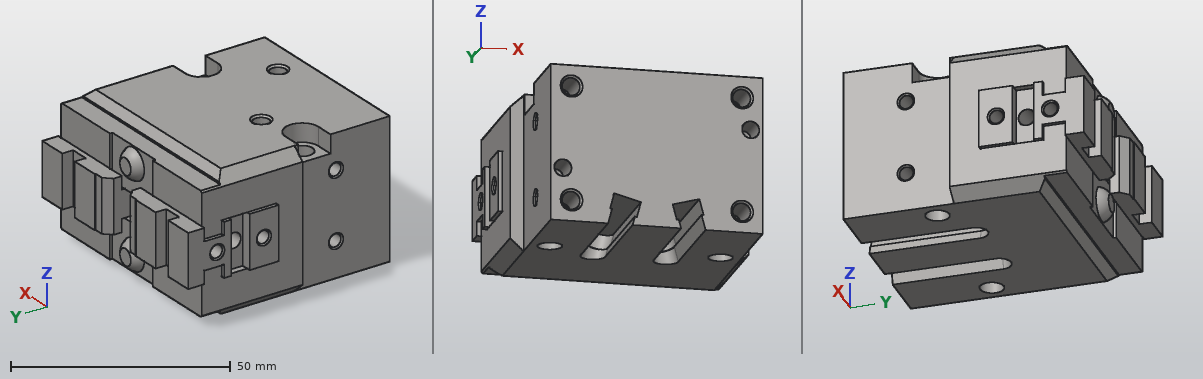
import cadquery as cq
import math


HEIGHT = 37.0
HALF_HEIGHT = HEIGHT / 2
REAR_WIDTH = 49.7
WIDE_WIDTH = 56.0
WIDE_START = 26.5
HOUSING_LENGTH = 49.0
WIDE_EDGE_DROP = 2.9
FACE_BEVEL = 2.0

COVER_HEIGHT = 32.05
COVER_THICKNESS = 5.5
COVER_FACE = HOUSING_LENGTH + COVER_THICKNESS
RECESS_WIDTH = 17.0
RECESS_DEPTH = 0.7
SCREW_HEAD_RADIUS = 4.15
SCREW_CROWN_RADIUS = 2.2
SCREW_HEAD_HEIGHT = 2.35
SCREW_Z = 11.5

JAW_OUTER_X = 58.0 / 2
JAW_INNER_X = 3.7
JAW_HEIGHT = 14.3
JAW_NECK_HEIGHT = 7.45
JAW_TIP = 59
JAW_FOOT = 33.85
SIDE_GROOVE_START = 41.9
SIDE_GROOVE_END = 46.95
SIDE_GROOVE_DEPTH = 2.8
KEYWAY_X = 18.5
KEYWAY_WIDTH = 5.0
KEYWAY_DEPTH = 3.0
NOSE_STEP_X = 8.0
NOSE_STEP_DEPTH = 0.25
NOSE_BEVEL = 1.95
JAW_HOLE_Y = (SIDE_GROOVE_START + SIDE_GROOVE_END) / 2
JAW_SCREW_SPACING = 6.5

DRILL_POINT_ANGLE = 118
DOWEL_DIAMETER = 4.0
SMALL_TAP_DRILL, SMALL_TAP_MOUTH = 3.3, 4.1
LARGE_TAP_DRILL, LARGE_TAP_MOUTH = 4.2, 5.2
TAPPED_DEPTH = 10.05
DOWEL_DEPTH = 8.0

MOUNT_X = 20.0
REAR_TAP_Z = 13.5
REAR_DOWEL_X = 22.0
REAR_DOWEL_Z = 6.0
SIDE_TAP_Y = 15.0
SIDE_TAP_Z = 9.0

BOLT_Y = 21.0
BOLT_DIAMETER = 5.65
BOLT_SEAT_WIDTH = 9.0
BOLT_SEAT_DEPTH = 4.9

PORT_X = 9.5
PORT_LEFT_Y = 25.0
PORT_RIGHT_Y = 7.0
PORT_DEPTH = 6.0
PORT_BORE = 2.0
PORT_BORE_DEPTH = 2.95

SLOT_X = 8.55
SLOT_TILT = 15
SLOT_END_Y = 26.55
SLOT_NECK_WIDTH = 5.55
SLOT_HEAD_WIDTH = 6.5
SLOT_HEAD_START = 2.9
SLOT_DEPTH = 6.6


def box(x0, x1, y0, y1, z0, z1):
    """Axis-aligned block between opposite corners."""
    return cq.Workplane("XY").box(x1 - x0, y1 - y0, z1 - z0, centered=False).translate((x0, y0, z0))


def drilled_hole(position, direction, diameter, depth, mouth=None):
    """Cutter for a horizontal blind hole with a conical drill point and an optional 45 degree mouth."""
    radius = diameter / 2
    point_length = radius / math.tan(math.radians(DRILL_POINT_ANGLE / 2))
    profile = [(0, 0)]
    if mouth:
        mouth_radius = mouth / 2
        profile += [(mouth_radius, 0), (radius, mouth_radius - radius)]
    else:
        profile += [(radius, 0)]
    profile += [(radius, depth), (0, depth + point_length)]
    cutter = cq.Workplane("XY").polyline(profile).close().revolve(360, (0, 0), (0, 1))
    local_x = (0, 0, 1)
    normal = cq.Vector(*local_x).cross(cq.Vector(*direction))
    plane = cq.Plane(origin=position, xDir=local_x, normal=normal.toTuple())
    return cq.Workplane(cutter.val().moved(cq.Location(plane)))


def wide_section(y0, y1):
    """Prism with bevelled long edges, its top and bottom flats as wide as the rear block."""
    half_wide = WIDE_WIDTH / 2
    half_rear = REAR_WIDTH / 2
    shoulder_z = HALF_HEIGHT - WIDE_EDGE_DROP
    corner = [(half_wide, shoulder_z), (half_rear, HALF_HEIGHT)]
    right_half = [(x, -z) for x, z in reversed(corner)] + corner
    left_half = [(-x, -z) for x, z in right_half]
    outline = right_half + left_half
    return cq.Workplane("XZ", origin=(0, y0, 0)).polyline(outline).close().extrude(y0 - y1)


def housing_block():
    """Narrow rear block and wide guide section, bevelled towards the cover."""
    rear = box(-REAR_WIDTH / 2, REAR_WIDTH / 2, 0, WIDE_START, -HALF_HEIGHT, HALF_HEIGHT)
    wide = wide_section(WIDE_START, HOUSING_LENGTH)
    bevel_y = HOUSING_LENGTH - FACE_BEVEL
    bevel_z = HALF_HEIGHT - FACE_BEVEL
    for side in (1, -1):
        wedge = (
            cq.Workplane("YZ", origin=(-WIDE_WIDTH / 2, 0, 0))
            .moveTo(bevel_y, side * HALF_HEIGHT)
            .lineTo(HOUSING_LENGTH, side * HALF_HEIGHT)
            .lineTo(HOUSING_LENGTH, side * bevel_z)
            .close()
            .extrude(WIDE_WIDTH)
        )
        wide = wide.cut(wedge)
    return rear.union(wide)


def cover_plate():
    """Cover that continues the housing sides, with its recess and two screw heads."""
    half_height = COVER_HEIGHT / 2
    plate = wide_section(HOUSING_LENGTH, COVER_FACE)
    plate = plate.intersect(
        box(-WIDE_WIDTH, WIDE_WIDTH, HOUSING_LENGTH, COVER_FACE, -half_height, half_height)
    )
    recess_floor = COVER_FACE - RECESS_DEPTH
    half_recess = RECESS_WIDTH / 2
    plate = plate.cut(box(-half_recess, half_recess, recess_floor, COVER_FACE, -half_height, half_height))
    for z in (SCREW_Z, -SCREW_Z):
        plate = plate.union(screw_head().translate((0, recess_floor, z)))
    return plate


def screw_head():
    """Domed head with a flat crown, standing on Y = 0."""
    centre_y = (SCREW_CROWN_RADIUS**2 + SCREW_HEAD_HEIGHT**2 - SCREW_HEAD_RADIUS**2) / (2 * SCREW_HEAD_HEIGHT)
    dome_radius = math.hypot(SCREW_HEAD_RADIUS, centre_y)
    mid_y = SCREW_HEAD_HEIGHT / 2
    mid_radius = math.sqrt(dome_radius**2 - (mid_y - centre_y) ** 2)
    return (
        cq.Workplane("XY")
        .lineTo(SCREW_HEAD_RADIUS, 0)
        .threePointArc((mid_radius, mid_y), (SCREW_CROWN_RADIUS, SCREW_HEAD_HEIGHT))
        .lineTo(0, SCREW_HEAD_HEIGHT)
        .close()
        .revolve(360, (0, 0), (0, 1))
    )


def jaw_channel():
    """T-shaped channel through the housing and cover that guides both jaws."""
    half_width = WIDE_WIDTH / 2
    half_jaw = JAW_HEIGHT / 2
    half_neck = JAW_NECK_HEIGHT / 2
    wide = box(-half_width, half_width, JAW_FOOT, HOUSING_LENGTH, -half_jaw, half_jaw)
    neck = box(-half_width, half_width, HOUSING_LENGTH, COVER_FACE, -half_neck, half_neck)
    return wide.union(neck)


def rear_holes():
    """Four tapped holes and two diagonally opposite dowel holes in the rear face."""
    inward = (0, 1, 0)
    holes = []
    for x in (MOUNT_X, -MOUNT_X):
        for z in (REAR_TAP_Z, -REAR_TAP_Z):
            holes.append(drilled_hole((x, 0, z), inward, LARGE_TAP_DRILL, TAPPED_DEPTH, LARGE_TAP_MOUTH))
    for side in (1, -1):
        place = (side * REAR_DOWEL_X, 0, side * REAR_DOWEL_Z)
        holes.append(drilled_hole(place, inward, DOWEL_DIAMETER, DOWEL_DEPTH))
    return holes


def side_holes():
    """Two tapped holes in each side of the rear block."""
    holes = []
    for side in (1, -1):
        for z in (SIDE_TAP_Z, -SIDE_TAP_Z):
            place = (side * REAR_WIDTH / 2, SIDE_TAP_Y, z)
            holes.append(drilled_hole(place, (-side, 0, 0), SMALL_TAP_DRILL, TAPPED_DEPTH, SMALL_TAP_MOUTH))
    return holes


def mounting_bolt_hole(side):
    """Vertical through hole with a seat that opens out of the side face."""
    x = side * MOUNT_X
    seat_z = HALF_HEIGHT - BOLT_SEAT_DEPTH
    hole = cq.Workplane("XY", origin=(x, BOLT_Y, -HALF_HEIGHT)).circle(BOLT_DIAMETER / 2).extrude(HEIGHT)
    seat = cq.Workplane("XY", origin=(x, BOLT_Y, seat_z)).circle(BOLT_SEAT_WIDTH / 2).extrude(BOLT_SEAT_DEPTH)
    run_out = (
        cq.Workplane("XY", origin=(side * (MOUNT_X + REAR_WIDTH / 2) / 2, BOLT_Y, seat_z))
        .rect(REAR_WIDTH / 2 - MOUNT_X, BOLT_SEAT_WIDTH)
        .extrude(BOLT_SEAT_DEPTH)
    )
    return hole.union(seat).union(run_out)


def air_port(x, y):
    """Tapped, flat-bottomed port with a fine bore in its floor."""
    top = cq.Workplane("XY", origin=(x, y, HALF_HEIGHT))
    mouth_depth = (LARGE_TAP_MOUTH - LARGE_TAP_DRILL) / 2
    tapped = top.circle(LARGE_TAP_DRILL / 2).extrude(-PORT_DEPTH)
    bore = top.circle(PORT_BORE / 2).extrude(-PORT_DEPTH - PORT_BORE_DEPTH)
    mouth = top.circle(LARGE_TAP_MOUTH / 2).workplane(offset=-mouth_depth).circle(LARGE_TAP_DRILL / 2).loft()
    return tapped.union(bore).union(mouth)


def slot_layer(width, start, end):
    """Round-ended groove from Y = 0 inwards, between two heights above the slot origin."""
    groove = cq.Workplane("XY", origin=(0, 0, start)).rect(width, 2 * SLOT_END_Y).extrude(end - start)
    round_end = cq.Workplane("XY", origin=(0, SLOT_END_Y, start)).circle(width / 2).extrude(end - start)
    return groove.union(round_end)


def sensor_slot(side):
    """Tilted T-slot that opens in the bottom face and leans towards the middle."""
    below_bottom = -SLOT_NECK_WIDTH / 2
    slot = slot_layer(SLOT_NECK_WIDTH, below_bottom, SLOT_DEPTH)
    slot = slot.union(slot_layer(SLOT_HEAD_WIDTH, SLOT_HEAD_START, SLOT_DEPTH))
    slot = slot.rotate((0, 0, 0), (0, 1, 0), -side * SLOT_TILT)
    return slot.translate((side * SLOT_X, 0, -HALF_HEIGHT))


def make_housing():
    """Housing and cover in one solid."""
    body = housing_block().union(cover_plate()).cut(jaw_channel())
    for hole in rear_holes() + side_holes():
        body = body.cut(hole)
    for side in (1, -1):
        body = body.cut(mounting_bolt_hole(side)).cut(sensor_slot(side))
    body = body.cut(air_port(-PORT_X, PORT_LEFT_Y)).cut(air_port(PORT_X, PORT_RIGHT_Y))
    return body


def make_jaw(side):
    """C-shaped jaw on the +X (side = 1) or -X (side = -1) end."""
    nose_face = JAW_TIP - NOSE_STEP_DEPTH
    keyway_inner = KEYWAY_X - KEYWAY_WIDTH / 2
    keyway_outer = KEYWAY_X + KEYWAY_WIDTH / 2
    keyway_floor = JAW_TIP - KEYWAY_DEPTH
    groove_floor = JAW_OUTER_X - SIDE_GROOVE_DEPTH
    outline = [
        (JAW_INNER_X, JAW_FOOT),
        (JAW_OUTER_X, JAW_FOOT),
        (JAW_OUTER_X, SIDE_GROOVE_START),
        (groove_floor, SIDE_GROOVE_START),
        (groove_floor, SIDE_GROOVE_END),
        (JAW_OUTER_X, SIDE_GROOVE_END),
        (JAW_OUTER_X, JAW_TIP),
        (keyway_outer, JAW_TIP),
        (keyway_outer, keyway_floor),
        (keyway_inner, keyway_floor),
        (keyway_inner, JAW_TIP),
        (NOSE_STEP_X, JAW_TIP),
        (NOSE_STEP_X, nose_face),
        (JAW_INNER_X + NOSE_BEVEL, nose_face),
        (JAW_INNER_X, nose_face - NOSE_BEVEL),
    ]
    half_jaw = JAW_HEIGHT / 2
    half_neck = JAW_NECK_HEIGHT / 2
    jaw = cq.Workplane("XY", origin=(0, 0, -half_jaw)).polyline(outline).close().extrude(JAW_HEIGHT)
    for z0, z1 in ((half_neck, half_jaw), (-half_jaw, -half_neck)):
        jaw = jaw.cut(box(JAW_INNER_X, JAW_OUTER_X, HOUSING_LENGTH, COVER_FACE, z0, z1))

    inward = (-1, 0, 0)
    for offset in (JAW_SCREW_SPACING, -JAW_SCREW_SPACING):
        place = (JAW_OUTER_X, JAW_HOLE_Y + offset, 0)
        jaw = jaw.cut(drilled_hole(place, inward, SMALL_TAP_DRILL, TAPPED_DEPTH, SMALL_TAP_MOUTH))
    jaw = jaw.cut(drilled_hole((groove_floor, JAW_HOLE_Y, 0), inward, DOWEL_DIAMETER, DOWEL_DEPTH))
    return jaw if side > 0 else jaw.mirror("YZ")


housing = make_housing()
jaws = [make_jaw(side) for side in (1, -1)]

result = cq.Compound.makeCompound([body.solids().val() for body in [housing, *jaws]])